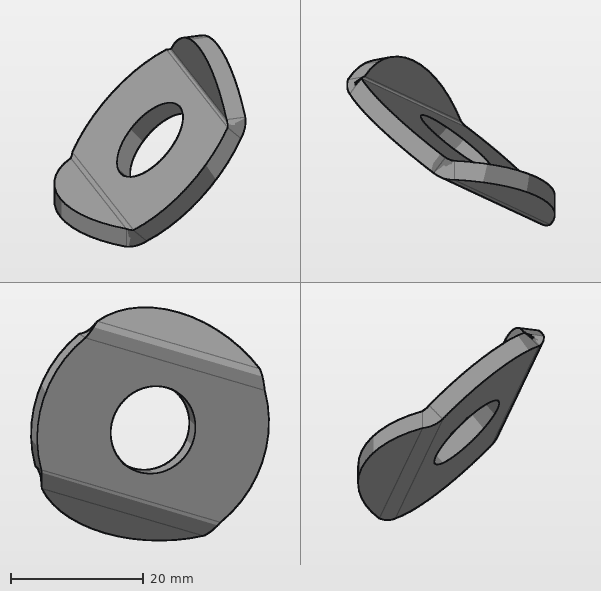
import cadquery as cq
import math

disc_radius = 18.5
thickness = 3.0
hole_diameter = 13.5
web_length = 21.15
inner_bend_radius = 1.0
bend_angle = 45.0
neutral_fraction = 0.44

half_web = web_length / 2
outer_bend_radius = inner_bend_radius + thickness
bend_axis_z = thickness / 2 + inner_bend_radius
neutral_radius = inner_bend_radius + neutral_fraction * thickness
flange_start = half_web + neutral_radius * math.radians(bend_angle)
web_end_width = 2 * math.sqrt(disc_radius**2 - half_web**2)
flange_start_width = 2 * math.sqrt(disc_radius**2 - flange_start**2)

envelope_inner_radius = inner_bend_radius / 2
envelope_outer_radius = outer_bend_radius * 1.2


def disc():
    return cq.Workplane("XY").circle(disc_radius).extrude(thickness / 2, both=True)


def fold(shape):
    """Rotate a shape up around the bend axis at the +Y end of the web."""
    return shape.rotate((0, half_web, bend_axis_z), (1, half_web, bend_axis_z), bend_angle)


def make_web():
    strip = cq.Workplane("XY").box(2 * disc_radius, web_length, thickness)
    return disc().intersect(strip)


def make_flange():
    """Outer disc segment, moved up to the web end and folded."""
    strip = cq.Workplane("XY").box(
        2 * disc_radius, disc_radius, thickness, centered=(True, False, True)
    )
    segment = disc().intersect(strip.translate((0, flange_start, 0)))
    return fold(segment.translate((0, half_web - flange_start, 0)))


def bend_section(width):
    """Rectangular outline across the bend at the end of the web."""
    half_width = width / 2
    low = bend_axis_z - envelope_outer_radius
    high = bend_axis_z - envelope_inner_radius
    corners = [(-half_width, low), (half_width, low), (half_width, high), (-half_width, high)]
    return cq.Wire.makePolygon([cq.Vector(x, half_web, z) for x, z in corners], close=True)


def make_bend():
    """Curved strip whose sides taper from the web width to the flange width."""
    sections = [bend_section(web_end_width), fold(bend_section(flange_start_width))]
    envelope = cq.Workplane(cq.Solid.makeLoft(sections, True))
    ring = (
        cq.Workplane("YZ")
        .center(half_web, bend_axis_z)
        .circle(outer_bend_radius)
        .circle(inner_bend_radius)
        .extrude(disc_radius, both=True)
    )
    return ring.intersect(envelope)


folded_end = make_bend().union(make_flange())
hole = cq.Workplane("XY").circle(hole_diameter / 2).extrude(thickness, both=True)

flat_web_part = make_web().union(folded_end).union(folded_end.mirror("XZ")).cut(hole)

result = flat_web_part.rotate((0, 0, 0), (1, 0, 0), bend_angle)